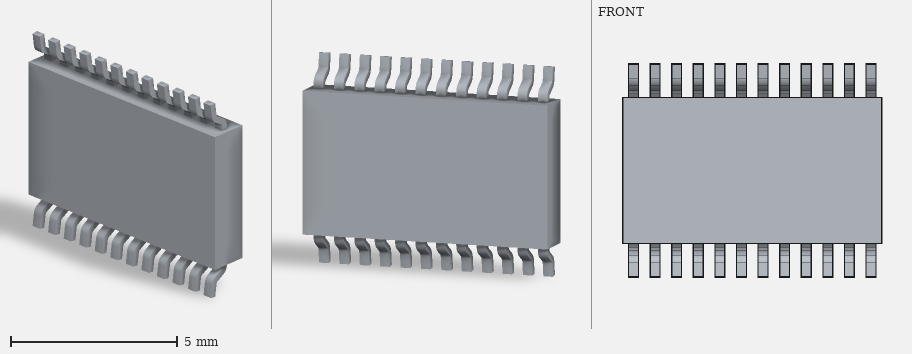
import cadquery as cq
import math

body_length = 7.8
body_depth = 1.2
body_height = 4.4
body_front = -body_depth / 2
body_top = body_height / 2

overall_height = 6.43
leads_per_row = 12
lead_pitch = body_length / leads_per_row
lead_width = 0.305
lead_thickness = 0.195

root_length = 0.125
root_embed = 0.08
inner_bend_radius = 0.1
bend_radius = inner_bend_radius + lead_thickness / 2
slope_angle = math.radians(60)
foot_angle = math.radians(8)


def heading(angle):
    """Unit (Y, Z) direction tilted from +Z toward the front of the body."""
    return -math.sin(angle), math.cos(angle)


def bend_offset(start_angle, end_angle):
    """(Y, Z) travel along a bend between two headings."""
    turn = 1 if end_angle > start_angle else -1
    travel_y = turn * bend_radius * (math.cos(end_angle) - math.cos(start_angle))
    travel_z = turn * bend_radius * (math.sin(end_angle) - math.sin(start_angle))
    return travel_y, travel_z


def straight_lengths(travel_y, travel_z):
    """Lengths of slope and foot that together cover the given (Y, Z) travel."""
    turn_back = math.sin(slope_angle - foot_angle)
    slope = (-travel_y * math.cos(foot_angle) - travel_z * math.sin(foot_angle)) / turn_back
    foot = (travel_z * math.sin(slope_angle) + travel_y * math.cos(slope_angle)) / turn_back
    return slope, foot


def lead_centreline():
    """Gull-wing path in the YZ plane, rising from mid-depth of the body top."""
    half_thickness = lead_thickness / 2
    root_end_z = body_top + root_length

    tip_y = body_front + half_thickness * math.cos(foot_angle)
    tip_z = overall_height / 2 - half_thickness * math.sin(foot_angle)

    lower_bend = bend_offset(0, slope_angle)
    upper_bend = bend_offset(slope_angle, foot_angle)
    slope_length, foot_length = straight_lengths(
        tip_y - lower_bend[0] - upper_bend[0],
        tip_z - root_end_z - lower_bend[1] - upper_bend[1],
    )
    slope_direction = heading(slope_angle)
    foot_direction = heading(foot_angle)
    return (
        cq.Workplane("YZ")
        .moveTo(0, body_top - root_embed)
        .lineTo(0, root_end_z)
        .tangentArcPoint(lower_bend)
        .line(slope_length * slope_direction[0], slope_length * slope_direction[1])
        .tangentArcPoint(upper_bend)
        .line(foot_length * foot_direction[0], foot_length * foot_direction[1])
    )


def make_lead():
    """One upper lead, centred on X = 0."""
    path = lead_centreline()
    return (
        cq.Workplane("XY", origin=(0, 0, body_top - root_embed))
        .rect(lead_width, lead_thickness)
        .sweep(path)
    )


result = cq.Workplane("XY").box(body_length, body_depth, body_height)

upper_lead = make_lead()
lower_lead = upper_lead.mirror("XY")
for index in range(leads_per_row):
    lead_x = (index + 0.5) * lead_pitch - body_length / 2
    for lead in (upper_lead, lower_lead):
        result = result.union(lead.translate((lead_x, 0, 0)))